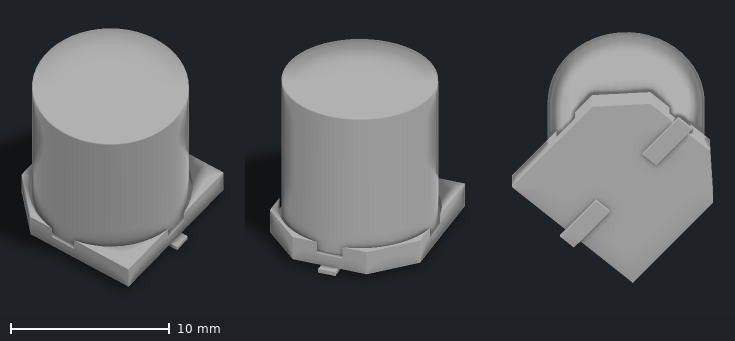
import cadquery as cq

total_height = 11.3
overall_length = 11.2

terminal_length = 3.39
terminal_width = 1.15
terminal_thickness = 0.28

base_side = 10.2
base_height = 1.62
corner_chamfer = 2.59
recess_diameter = 10.35
recess_depth = 0.81

can_diameter = 9.9
can_edge_radius = 0.15

base_top = terminal_thickness + base_height
recess_floor = base_top - recess_depth


def make_base():
    """Plate with its -X corners chamfered and a seat for the can cut into the top."""
    plate = (
        cq.Workplane("XY", origin=(0, 0, terminal_thickness))
        .rect(base_side, base_side)
        .extrude(base_height)
        .edges("|Z and <X")
        .chamfer(corner_chamfer)
    )
    recess = (
        cq.Workplane("XY", origin=(0, 0, recess_floor))
        .circle(recess_diameter / 2)
        .extrude(recess_depth)
    )
    return plate.cut(recess)


def make_can():
    """Cylinder with both end edges rounded."""
    return (
        cq.Workplane("XY", origin=(0, 0, recess_floor))
        .circle(can_diameter / 2)
        .extrude(total_height - recess_floor)
        .edges("%CIRCLE")
        .fillet(can_edge_radius)
    )


def make_terminal(side):
    """Strip on the +X (side = 1) or -X (side = -1) half of the base."""
    center_x = side * (overall_length - terminal_length) / 2
    return (
        cq.Workplane("XY", origin=(center_x, 0, 0))
        .rect(terminal_length, terminal_width)
        .extrude(terminal_thickness)
    )


base = make_base()
can = make_can()
terminals = [make_terminal(side) for side in (-1, 1)]

result = cq.Compound.makeCompound(
    [base.val(), can.val(), *[terminal.val() for terminal in terminals]]
)